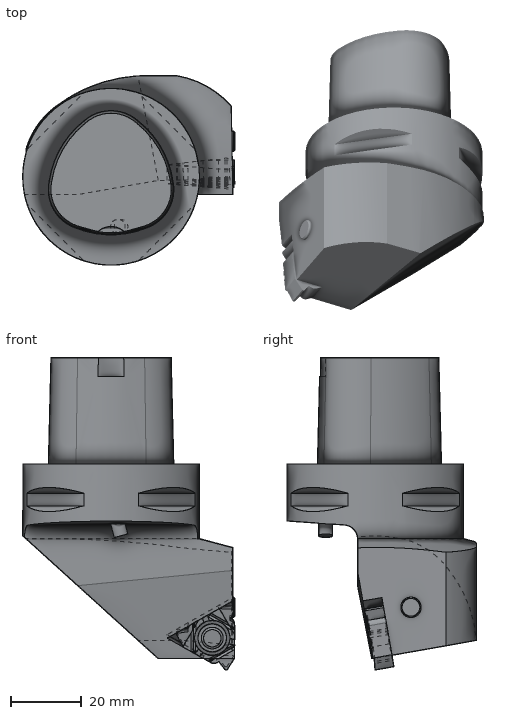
import cadquery as cq
import math


LENGTH = 88.3

SHANK_HEIGHT = 30.0
SHANK_TAPER = 1 / 20
LOBE_COUNT = 3
LOBE_RADIUS = 18.7
FLANK_RADIUS = 16.4
LOBE_JOINT_RADIUS = 17.6
LOBE_HALF_ANGLE = 25.7
NOTCH_RADIUS = 5.3
NOTCH_BOTTOM_Y = -14.05
NOTCH_DEPTH = 5.4

FLANGE_RADIUS = 25.0
SLOT_COUNT = 4
SLOT_Z = -10.1
SLOT_FLOOR = 22.3
SLOT_HALF_FLOOR = 1.8
SLOT_WALL_ANGLE = 31.0

FRONT_Y = -5.0
BACK_Y = 28.6
LEFT_ARC_START_Y = 3.1
LEFT_ARC_MID = (-20.9, 14.4)
LEFT_ARC_END = (-14.1, 20.9)
BACK_ARC_MID = (-2.8, 26.6)
BACK_FLAT_START_X = 10.6
BACK_FLAT_END_X = 18.55
BACK_CORNER_MID = (27.2, 25.5)
BACK_CORNER_END_Y = 20.0
SIDE_X = 34.45

SHOULDER_Z = -21.1
SHOULDER_ANGLE = 15.0
UNDERCUT_START_Z = -20.3
UNDERCUT_ANGLE = 42.2
RELIEF_EDGE_Z = -16.2
RELIEF_ANGLE = 4.0
RELIEF_FILLET = 4.0

FACE_ANGLE = 10.0
BEND_SLOPE = 5.6
BEND_Z = -30.1

INSERT_X = 28.6
INSERT_INRADIUS = 6.4
INSERT_THICKNESS = 5.5
INSERT_BOTTOM_EDGE = 5.9
CORNERS = 3
TOOTH_OUTER_V = -5.7
TOOTH_TIP = (4.0, -9.2)
TOOTH_TIP_FLAT = 0.5
TOOTH_ROOT = (1.85, -6.8)
HUMP_TOP = (0.7, -7.3)
HUMP_END_U = -0.2
RAKE_WALL_V = -5.9
RAKE_DEPTH = 0.4
GROOVE_INNER = 4.7
GROOVE_OUTER = 6.0
GROOVE_DEPTH = 0.6
GROOVE_LENGTH = 7.95
LAND_RADIUS = 8.0 / 2
RING_WIDTH = 1.0
RING_DEPTH = 0.6
CHANNEL_ANGLE = 109.0
CHANNEL_WIDTH = 1.6
CHANNEL_DEPTH = 0.35
BOSS_RADIUS = 3.1
BOSS_HEIGHT = 0.3
BOSS_TOP_RADIUS = 2.5

NOZZLE_RADIUS = 4.0 / 2
NOZZLE_TIP = (2.8, -14.05, -20.3)
NOZZLE_TILT = 15.0
NOZZLE_LENGTH = 7.1
PLUG_RADIUS = 5.7 / 2
PLUG_Y = 10.1
PLUG_Z = -40.5
PLUG_END_X = 35.0
PLUG_CHAMFER = 0.35
PLUG_LENGTH = 2.65

REACH = 176.7


def tangent(angle):
    return math.tan(math.radians(angle))


def polar(radius, angle):
    return radius * math.cos(math.radians(angle)), radius * math.sin(math.radians(angle))


face_sin = math.sin(math.radians(FACE_ANGLE))
face_cos = math.cos(math.radians(FACE_ANGLE))
bend_sin = math.sin(math.radians(BEND_SLOPE))
bend_cos = math.cos(math.radians(BEND_SLOPE))
face_u = cq.Vector(1, tangent(FACE_ANGLE) * bend_sin, 0)
face_w = cq.Vector(face_sin * bend_sin, -face_cos, -face_sin * bend_cos)
face_v_z = face_w.cross(face_u.normalized()).z
insert_z = SHANK_HEIGHT - LENGTH - TOOTH_TIP[1] * face_v_z
bend_z_at_insert = BEND_Z + (INSERT_X - SIDE_X) * tangent(BEND_SLOPE)
insert_drop = (bend_z_at_insert - insert_z) * bend_cos
insert_y = FRONT_Y + insert_drop * tangent(FACE_ANGLE)
face_plane = cq.Plane(origin=(INSERT_X, insert_y, insert_z), xDir=face_u, normal=face_w)
side_slope = face_u.y


def shank_outline(sketch, inset):
    """Three lobe arcs and three flatter flank arcs, moved inwards by the inset."""
    lobe_pitch = 360 / LOBE_COUNT
    joint_radius = LOBE_JOINT_RADIUS - inset
    sketch = sketch.moveTo(*polar(joint_radius, 90 - LOBE_HALF_ANGLE))
    for index in range(LOBE_COUNT):
        crest = 90 + index * lobe_pitch
        lobe_end = polar(joint_radius, crest + LOBE_HALF_ANGLE)
        flank_end = polar(joint_radius, crest + lobe_pitch - LOBE_HALF_ANGLE)
        sketch = sketch.threePointArc(polar(LOBE_RADIUS - inset, crest), lobe_end)
        sketch = sketch.threePointArc(polar(FLANK_RADIUS - inset, crest + lobe_pitch / 2), flank_end)
    return sketch.close()


def shank():
    top_inset = SHANK_HEIGHT * SHANK_TAPER / 2
    base = shank_outline(cq.Workplane("XY"), 0)
    body = shank_outline(base.workplane(offset=SHANK_HEIGHT), top_inset).loft(ruled=True)
    notch = (
        cq.Workplane("XY", origin=(0, NOTCH_BOTTOM_Y - NOTCH_RADIUS, SHANK_HEIGHT - NOTCH_DEPTH))
        .circle(NOTCH_RADIUS)
        .extrude(NOTCH_DEPTH)
    )
    return body.cut(notch)


def flange():
    body = cq.Workplane("XY").circle(FLANGE_RADIUS).extrude(SHOULDER_Z - RELIEF_FILLET)
    half_mouth = SLOT_HALF_FLOOR + (REACH - SLOT_FLOOR) * tangent(SLOT_WALL_ANGLE)
    slot = (
        cq.Workplane("XZ", origin=(0, 0, SLOT_Z))
        .polyline(
            [
                (SLOT_FLOOR, -SLOT_HALF_FLOOR),
                (SLOT_FLOOR, SLOT_HALF_FLOOR),
                (REACH, half_mouth),
                (REACH, -half_mouth),
            ]
        )
        .close()
        .extrude(FLANGE_RADIUS, both=True)
    )
    for index in range(SLOT_COUNT):
        body = body.cut(slot.rotate((0, 0, 0), (0, 0, 1), (index + 0.5) * 360 / SLOT_COUNT))
    return body


def front_relief():
    """Space in front of the head, under the sloping flange underside."""
    inner_z = RELIEF_EDGE_Z - (FRONT_Y + FLANGE_RADIUS) * tangent(RELIEF_ANGLE)
    outer_z = RELIEF_EDGE_Z + (REACH - FLANGE_RADIUS) * tangent(RELIEF_ANGLE)
    return (
        cq.Workplane("YZ")
        .polyline([(FRONT_Y, inner_z), (-REACH, outer_z), (-REACH, -REACH), (FRONT_Y, -REACH)])
        .close()
        .extrude(REACH, both=True)
        .edges("|X")
        .edges(">(0, 1, 1)")
        .fillet(RELIEF_FILLET)
    )


def head():
    back_side_x = SIDE_X - side_slope * (BACK_CORNER_END_Y - FRONT_Y)
    column = (
        cq.Workplane("XY")
        .moveTo(-FLANGE_RADIUS, FRONT_Y)
        .lineTo(-FLANGE_RADIUS, LEFT_ARC_START_Y)
        .threePointArc(LEFT_ARC_MID, LEFT_ARC_END)
        .threePointArc(BACK_ARC_MID, (BACK_FLAT_START_X, BACK_Y))
        .lineTo(BACK_FLAT_END_X, BACK_Y)
        .threePointArc(BACK_CORNER_MID, (back_side_x, BACK_CORNER_END_Y))
        .lineTo(SIDE_X, FRONT_Y)
        .close()
        .extrude(-REACH)
    )
    shoulder = (
        cq.Workplane("XZ")
        .polyline(
            [
                (0, SHOULDER_Z + FLANGE_RADIUS * tangent(SHOULDER_ANGLE)),
                (REACH, SHOULDER_Z - (REACH - FLANGE_RADIUS) * tangent(SHOULDER_ANGLE)),
                (REACH, REACH),
                (0, REACH),
            ]
        )
        .close()
        .revolve(360, (0, 0, 0), (0, 1, 0))
    )
    return column.cut(shoulder)


def slanted_underside():
    """Space below the slanted plane that trims the flange and the head."""
    end_z = UNDERCUT_START_Z - REACH * tangent(UNDERCUT_ANGLE)
    start = (-FLANGE_RADIUS, UNDERCUT_START_Z)
    return (
        cq.Workplane("XZ")
        .polyline(
            [
                (start[0] - REACH, start[1] + REACH * tangent(UNDERCUT_ANGLE)),
                (start[0] + REACH, end_z),
                (start[0] - REACH, end_z),
            ]
        )
        .close()
        .extrude(REACH, both=True)
    )


def face_trims():
    """Spaces in front of the inclined face and below the end face square to it."""
    front = cq.Workplane(face_plane).rect(2 * REACH, 2 * REACH).extrude(REACH)
    below = (
        cq.Workplane(face_plane)
        .center(0, -INSERT_BOTTOM_EDGE - REACH / 2)
        .rect(2 * REACH, REACH)
        .extrude(REACH, both=True)
    )
    return front, below


def insert_pocket():
    corner_radius = 2 * INSERT_INRADIUS
    points = [polar(corner_radius, 180 + index * 360 / CORNERS) for index in range(CORNERS)]
    return cq.Workplane(face_plane).polyline(points).close().extrude(-INSERT_THICKNESS)


def nozzle():
    tilt = math.radians(NOZZLE_TILT)
    upward = cq.Vector(-math.sin(tilt), 0, math.cos(tilt))
    plane = cq.Plane(origin=NOZZLE_TIP, xDir=(0, 1, 0), normal=upward)
    return cq.Workplane(plane).circle(NOZZLE_RADIUS).extrude(NOZZLE_LENGTH)


def side_plug():
    return (
        cq.Workplane("YZ", origin=(PLUG_END_X, PLUG_Y, PLUG_Z))
        .circle(PLUG_RADIUS)
        .extrude(-PLUG_LENGTH)
        .faces(">X")
        .chamfer(PLUG_CHAMFER)
    )


def make_holder():
    front, below = face_trims()
    underside = slanted_underside()
    trimmed_head = head().cut(below).cut(front).cut(insert_pocket())
    body = flange().cut(front_relief()).union(trimmed_head).cut(underside)
    return body.union(shank()).union(nozzle()).union(side_plug())


def turn_in_face(point, turns):
    angle = math.radians(turns * 360 / CORNERS)
    return (
        point[0] * math.cos(angle) - point[1] * math.sin(angle),
        point[0] * math.sin(angle) + point[1] * math.cos(angle),
    )


def insert_blank():
    """Three-sided plate with a thread-cutting tooth at each corner."""
    hump_end_v = -(INSERT_INRADIUS + HUMP_END_U * math.cos(math.pi / 3)) / math.sin(math.pi / 3)
    tip_start = (TOOTH_TIP[0] - TOOTH_TIP_FLAT / 2, TOOTH_TIP[1])
    tip_end = (TOOTH_TIP[0] + TOOTH_TIP_FLAT / 2, TOOTH_TIP[1])
    outline = cq.Workplane("XY").moveTo(HUMP_END_U, hump_end_v)
    for index in range(CORNERS):
        outline = (
            outline.threePointArc(turn_in_face(HUMP_TOP, index), turn_in_face(TOOTH_ROOT, index))
            .lineTo(*turn_in_face(tip_start, index))
            .lineTo(*turn_in_face(tip_end, index))
            .lineTo(*turn_in_face((INSERT_INRADIUS, TOOTH_OUTER_V), index))
        )
        if index < CORNERS - 1:
            outline = outline.lineTo(*turn_in_face((HUMP_END_U, hump_end_v), index + 1))
    return outline.close().extrude(-INSERT_THICKNESS)


def rake_cut():
    """Wedge that slopes from the tooth tip down to a wall beside the insert centre."""
    return (
        cq.Workplane("YZ")
        .polyline([(RAKE_WALL_V, 0), (RAKE_WALL_V, -RAKE_DEPTH), (TOOTH_TIP[1], 0)])
        .close()
        .extrude(INSERT_INRADIUS, both=True)
    )


def chip_groove():
    """V-shaped groove across one corner."""
    bottom = (GROOVE_INNER + GROOVE_OUTER) / 2
    return (
        cq.Workplane("XZ")
        .polyline([(-GROOVE_INNER, 0), (-bottom, -GROOVE_DEPTH), (-GROOVE_OUTER, 0)])
        .close()
        .extrude(GROOVE_LENGTH / 2, both=True)
    )


def side_channel():
    """Shallow channel from the ring around the centre land to a side."""
    length = 2 * INSERT_INRADIUS
    return (
        cq.Workplane("XY", origin=(LAND_RADIUS + RING_WIDTH / 2, 0, -CHANNEL_DEPTH))
        .rect(length, CHANNEL_WIDTH)
        .extrude(CHANNEL_DEPTH)
        .translate((length / 2, 0, 0))
        .rotate((0, 0, 0), (0, 0, 1), CHANNEL_ANGLE)
    )


def make_insert():
    body = insert_blank()
    for index in range(CORNERS):
        turn = index * 360 / CORNERS
        for cutter in (rake_cut(), chip_groove(), side_channel()):
            body = body.cut(cutter.rotate((0, 0, 0), (0, 0, 1), turn))
    ring_radius = LAND_RADIUS + RING_WIDTH
    ring = cq.Workplane("XY").circle(ring_radius).circle(LAND_RADIUS).extrude(-RING_DEPTH)
    boss = cq.Workplane("XY").circle(BOSS_RADIUS)
    boss = boss.workplane(offset=BOSS_HEIGHT).circle(BOSS_TOP_RADIUS).loft(ruled=True)
    body = body.cut(ring).union(boss)
    return cq.Workplane(obj=body.val().moved(cq.Location(face_plane)))


holder = make_holder()
insert = make_insert()

result = cq.Compound.makeCompound([holder.val(), insert.val()])